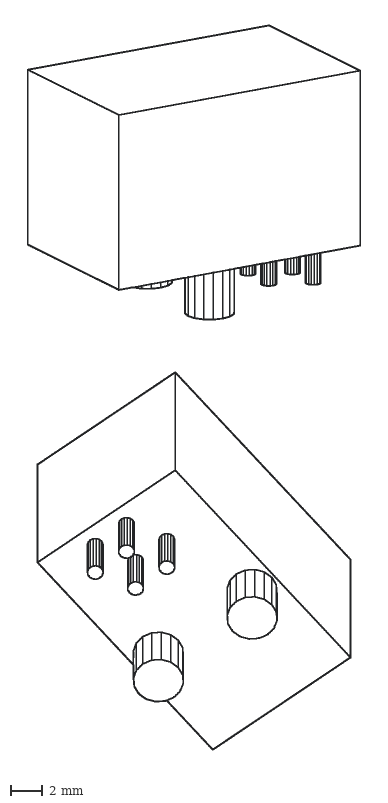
import cadquery as cq

body_width = 11.2
body_length = 18.0
body_height = 11.7

leg_length = 3.25
leg_sides = 16

grid = 2.54

peg_diameter = 3.2
peg_spacing = 3 * grid
peg_y = -1.15

pin_diameter = 1.0
pin_count = 4
pin_pitch = grid / 2
pin_row_pitch = grid
front_row_y = peg_y + 2.5 * grid


def make_housing():
    """Plain block centred on the Z axis."""
    return cq.Workplane("XY").box(body_width, body_length, body_height, centered=(True, True, False))


def make_legs(positions, diameter):
    """Faceted legs hanging below the housing at the given XY positions."""
    return (
        cq.Workplane("XY")
        .pushPoints(positions)
        .polygon(leg_sides, diameter)
        .extrude(-leg_length)
    )


def peg_positions():
    """A pair of pegs mirrored about the YZ plane."""
    return [(side * peg_spacing / 2, peg_y) for side in (-1, 1)]


def pin_positions():
    """Evenly pitched pins across X, alternating between front and rear rows."""
    first_x = -pin_pitch * (pin_count - 1) / 2
    return [
        (first_x + index * pin_pitch, front_row_y + (index % 2) * pin_row_pitch)
        for index in range(pin_count)
    ]


pegs = make_legs(peg_positions(), peg_diameter)
pins = make_legs(pin_positions(), pin_diameter)

result = make_housing().union(pegs).union(pins)